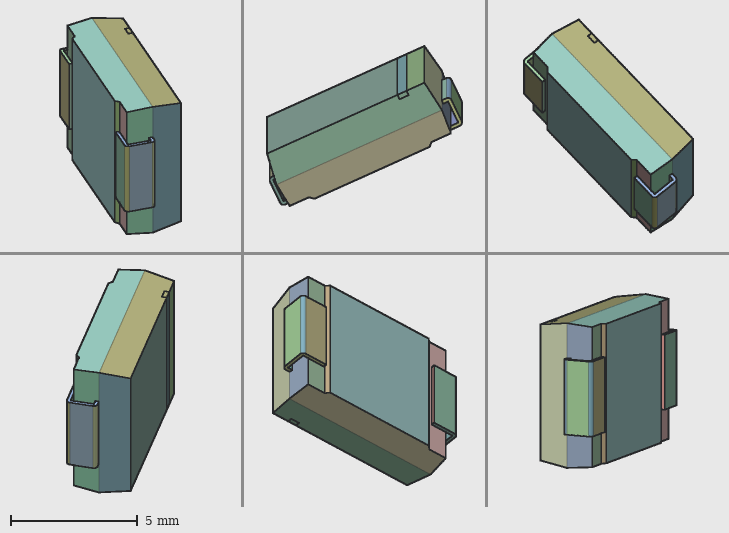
import cadquery as cq
import math


waist_length = 7.2
waist_width = 5.8
back_height = 1.25
back_draft = 8.0
base_height = 1.2
base_draft = 5.0

overall_length = 7.9
sheet = 0.15
lead_width = 3.0
lead_height = 1.25
foot_length = 1.2

recess_depth = sheet
base_pad_length = 5.025

band_left = -2.65
band_width = 0.395
band_depth = 0.2


def drafted_half(height, draft, direction):
    """Tapered half of the housing, from the parting plane along Y."""
    inset = height * math.tan(math.radians(draft))
    return (
        cq.Workplane("XZ")
        .rect(waist_length, waist_width)
        .workplane(offset=-direction * height)
        .rect(waist_length - 2 * inset, waist_width - 2 * inset)
        .loft(combine=True, ruled=True)
    )


def foot_recess(side):
    """Step cut across the base at one end; side is -1 or +1 along X."""
    pad_edge = base_pad_length / 2
    outside = overall_length / 2
    return (
        cq.Workplane("XY", origin=(0, 0, -waist_width / 2))
        .moveTo(side * pad_edge, -base_height)
        .lineTo(side * (pad_edge + recess_depth), -base_height + recess_depth)
        .lineTo(side * outside, -base_height + recess_depth)
        .lineTo(side * outside, -base_height)
        .close()
        .extrude(waist_width)
    )


def make_envelope():
    """Housing outline with its foot recesses, before the band is let in."""
    envelope = drafted_half(back_height, back_draft, 1).union(
        drafted_half(base_height, base_draft, -1)
    )
    for side in (-1, 1):
        envelope = envelope.cut(foot_recess(side))
    return envelope


def make_band():
    """Polarity band let into the back, as long as the back face is wide."""
    back_width = waist_width - 2 * back_height * math.tan(math.radians(back_draft))
    band = cq.Workplane("XY").box(
        band_width, band_depth, back_width, centered=(False, False, True)
    )
    return band.translate((band_left, back_height - band_depth, 0))


def make_lead(side, envelope):
    """C-shaped strip with rounded outer bends, ending on the housing wall."""
    outer = side * overall_length / 2
    inner = outer - side * sheet
    toe = outer - side * foot_length
    stub_end = side * (waist_length / 2 - sheet)
    bend = sheet * math.sqrt(0.5)
    strip = (
        cq.Workplane("XY", origin=(0, 0, -lead_width / 2))
        .moveTo(stub_end, 0)
        .lineTo(inner, 0)
        .threePointArc((inner + side * bend, bend - sheet), (outer, -sheet))
        .lineTo(outer, sheet - lead_height)
        .threePointArc(
            (inner + side * bend, sheet - lead_height - bend),
            (inner, -lead_height),
        )
        .lineTo(toe, -lead_height)
        .lineTo(toe, sheet - lead_height)
        .lineTo(inner, sheet - lead_height)
        .lineTo(inner, -sheet)
        .lineTo(stub_end, -sheet)
        .close()
        .extrude(lead_width)
    )
    return strip.cut(envelope)


envelope = make_envelope()
band = make_band()
housing = envelope.cut(band)
leads = [make_lead(side, envelope) for side in (-1, 1)]

result = cq.Compound.makeCompound(
    [housing.val(), band.val(), *[lead.val() for lead in leads]]
)